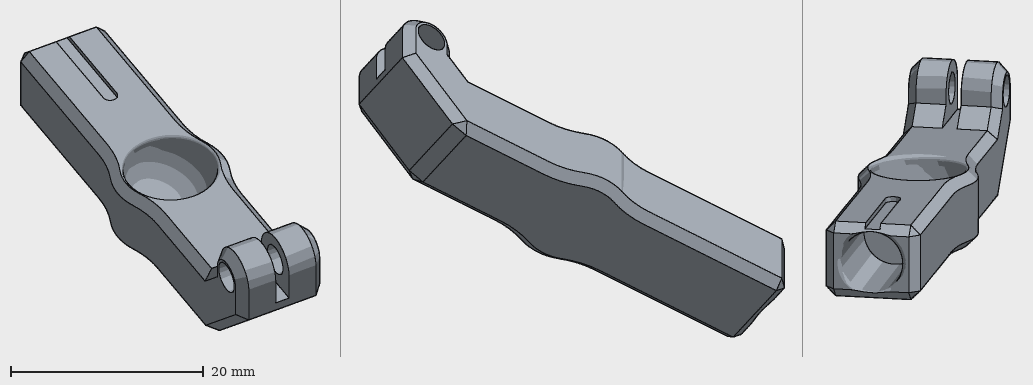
import cadquery as cq
import math

length = 48.0
bar_width = 10.0
bar_height = 8.0
chamfer = 1.0

socket_x = length / 2
swell_radius = 6.25
blend_radius = 10.0

ball_diameter = 9.8
socket_wall = 1.0

rim_radius = 0.5

bore_diameter = 6.5
bore_depth = 11.9
slot_width = 1.6
groove_depth = 0.55

total_height = 14.0
lug_radius = 3.0
pin_diameter = 3.3
ramp_rise = 2.0
heel_z = 7.0

lug_x = length - lug_radius
lug_z = total_height - lug_radius
lug_back_x = length - 2 * lug_radius
ramp_start_x = lug_back_x - ramp_rise
heel_x = length - heel_z


def side_profile():
    """Bar with a 45 degree bend up to the round hinge lug, in the XZ plane."""
    return (
        cq.Workplane("XZ")
        .moveTo(0, 0)
        .lineTo(heel_x, 0)
        .lineTo(length, heel_z)
        .lineTo(length, lug_z)
        .threePointArc((lug_x, total_height), (lug_back_x, lug_z))
        .lineTo(lug_back_x, bar_height + ramp_rise)
        .lineTo(ramp_start_x, bar_height)
        .lineTo(0, bar_height)
        .close()
        .extrude(swell_radius, both=True)
    )


def plan_outline():
    """Bar outline in the XY plane, swelling smoothly around the socket."""
    half_width = bar_width / 2
    blend_y = half_width + blend_radius
    center_distance = swell_radius + blend_radius
    blend_x = math.sqrt(center_distance**2 - blend_y**2)
    joint_x = blend_x * swell_radius / center_distance
    joint_y = blend_y * swell_radius / center_distance
    half_angle = math.atan2(blend_x, blend_y) / 2
    middle_x = blend_x - blend_radius * math.sin(half_angle)
    middle_y = blend_y - blend_radius * math.cos(half_angle)

    outline = cq.Workplane("XY").moveTo(0, -half_width)
    for side, end_x in ((1, length), (-1, 0)):
        outline = (
            outline.lineTo(socket_x - side * blend_x, -side * half_width)
            .threePointArc(
                (socket_x - side * middle_x, -side * middle_y),
                (socket_x - side * joint_x, -side * joint_y),
            )
            .threePointArc(
                (socket_x, -side * swell_radius),
                (socket_x + side * joint_x, -side * joint_y),
            )
            .threePointArc(
                (socket_x + side * middle_x, -side * middle_y),
                (socket_x + side * blend_x, -side * half_width),
            )
            .lineTo(end_x, -side * half_width)
        )
        if side == 1:
            outline = outline.lineTo(length, half_width)
    return outline.close().extrude(total_height)


def chamfered_body():
    """Intersect both outlines, then bevel the flanks and the -X end."""
    body = side_profile().intersect(plan_outline())
    sharp_edges = cq.selectors.BoxSelector(
        (ramp_start_x - 0.5, -0.5, -0.5),
        (length + 0.5, 0.5, total_height + 0.5),
    )
    return body.edges(cq.selectors.InverseSelector(sharp_edges)).chamfer(chamfer)


def heel_bevel():
    """Cutter for the heel corner: a prism between the flank bevels, tapering to a point on each flank."""
    diagonal_leg = chamfer * math.sqrt(0.5)
    inner_y = bar_width / 2 - chamfer
    tip_x = heel_x - chamfer * math.tan(math.radians(22.5))
    corners_xz = ((heel_x - chamfer, 0), (heel_x, 0), (heel_x + diagonal_leg, diagonal_leg))
    cutter = cq.Workplane("XZ").polyline(corners_xz).close().extrude(inner_y, both=True)
    for side in (-1, 1):
        base = [cq.Vector(x, side * inner_y, z) for x, z in corners_xz]
        tip = cq.Vector(tip_x, side * bar_width / 2, chamfer)
        triangles = [base]
        for i in range(len(base)):
            triangles.append([base[i - 1], base[i], tip])
        faces = [cq.Face.makeFromWires(cq.Wire.makePolygon(points, close=True)) for points in triangles]
        cutter = cutter.union(cq.Workplane(cq.Solid.makeSolid(cq.Shell.makeShell(faces))))
    return cutter


def rounded_mouth_hole(radius, wall_depth, ball_end):
    """Hole going down -Z from the origin, with a rounded mouth and a ball-shaped or flat end."""
    rim_middle = rim_radius * (1 - math.sqrt(0.5))
    profile = (
        cq.Workplane("XZ")
        .moveTo(0, 0)
        .lineTo(radius + rim_radius, 0)
        .threePointArc((radius + rim_middle, -rim_middle), (radius, -rim_radius))
        .lineTo(radius, -wall_depth)
    )
    if ball_end:
        diagonal = radius * math.sqrt(0.5)
        profile = profile.threePointArc((diagonal, -wall_depth - diagonal), (0, -wall_depth - radius))
    else:
        profile = profile.lineTo(0, -wall_depth)
    return profile.close().revolve(360, (0, 0, 0), (0, 1, 0))


def ball_socket():
    hole = rounded_mouth_hole(ball_diameter / 2, socket_wall, ball_end=True)
    return hole.translate((socket_x, 0, bar_height))


def rod_bore():
    hole = rounded_mouth_hole(bore_diameter / 2, bore_depth, ball_end=False)
    return hole.rotate((0, 0, 0), (0, 1, 0), -90).translate((0, 0, bar_height / 2))


def top_groove():
    """Round-ended groove in the top face, open at the -X end."""
    straight = bore_depth - slot_width / 2
    plane = cq.Workplane("XY").workplane(offset=bar_height - groove_depth)
    strip = plane.center(straight / 2, 0).rect(straight, slot_width).extrude(groove_depth)
    end = plane.center(straight, 0).circle(slot_width / 2).extrude(groove_depth)
    return strip.union(end)


def lug_slot():
    """Gap between the two hinge ears, level with the top of the bar."""
    slot_length = length - ramp_start_x
    slot_height = total_height - bar_height
    slot = cq.Workplane("XY").box(slot_length, slot_width, slot_height, centered=(False, True, False))
    return slot.translate((ramp_start_x, 0, bar_height))


def pin_hole():
    return (
        cq.Workplane("XZ")
        .center(lug_x, lug_z)
        .circle(pin_diameter / 2)
        .extrude(bar_width, both=True)
    )


result = chamfered_body()
for cutter in (heel_bevel(), ball_socket(), rod_bore(), top_groove(), lug_slot(), pin_hole()):
    result = result.cut(cutter)